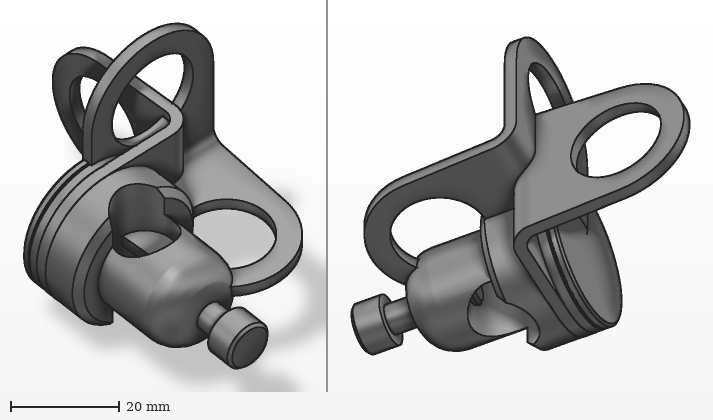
import cadquery as cq
import math


sheet = 2.5
bend_inner = 3.0
bend_outer = bend_inner + sheet
half_width = 15.1
eye_corner_radius = 15.0
eye_reach = 15.0
eye_hole_diameter = 20.1
eye_drop = 22.2
tab_hole_reach = 23.0
tab_radius = 14.0
tab_hole_diameter = 18.5
ring_outer_face = 6.5

flange_diameter = 30.0
flange_end = 15.5
flange_chamfer = 0.5
rim_chamfer = 1.55
groove_start = 1.6
groove_width = 0.5
groove_depth = 0.5
rod_diameter = 20.0
rod_end = 35.1
dome_radius = 7.0
cross_bore_diameter = 13.3
cross_bore_x = 17.25

screw_diameter = 5.9
screw_tip_x = 22.5
screw_tip_chamfer = 0.7
head_diameter = 10.0
head_length = 6.0
head_chamfer = 0.6
screw_end = 46.4


def x_cylinder(diameter, start, end):
    """Cylinder on the X axis between two X positions."""
    return cq.Workplane("YZ").workplane(offset=start).circle(diameter / 2).extrude(end - start)


def make_bent_strip():
    """L-shaped strip of full width; the eye centre on the outer face is the origin."""
    tab_end = tab_hole_reach + tab_radius
    bend_mid = bend_outer * (1 - math.sqrt(0.5))
    inner_mid = bend_outer - bend_inner * math.sqrt(0.5)
    return (
        cq.Workplane("XZ")
        .moveTo(0, eye_reach)
        .lineTo(0, bend_outer - eye_drop)
        .threePointArc((bend_mid, bend_mid - eye_drop), (bend_outer, -eye_drop))
        .lineTo(tab_end, -eye_drop)
        .lineTo(tab_end, sheet - eye_drop)
        .lineTo(bend_outer, sheet - eye_drop)
        .threePointArc((inner_mid, inner_mid - eye_drop), (sheet, bend_outer - eye_drop))
        .lineTo(sheet, eye_reach)
        .close()
        .extrude(half_width, both=True)
    )


def make_eye_outline():
    """Prism along X with the round-ended outline of the eye plate."""
    return (
        cq.Workplane("YZ")
        .moveTo(-half_width, -eye_drop)
        .lineTo(-half_width, eye_reach - eye_corner_radius)
        .radiusArc((eye_corner_radius - half_width, eye_reach), eye_corner_radius)
        .lineTo(half_width - eye_corner_radius, eye_reach)
        .radiusArc((half_width, eye_reach - eye_corner_radius), eye_corner_radius)
        .lineTo(half_width, -eye_drop)
        .close()
        .extrude(tab_hole_reach + tab_radius)
    )


def make_tab_outline():
    """Prism along Z whose sides taper from the bend to a tangent round end."""
    run = tab_hole_reach - bend_outer
    to_corner = math.atan2(half_width, -run)
    tangent_angle = to_corner - math.acos(tab_radius / math.hypot(run, half_width))
    tangent_x = tab_hole_reach + tab_radius * math.cos(tangent_angle)
    tangent_y = tab_radius * math.sin(tangent_angle)
    return (
        cq.Workplane("XY")
        .workplane(offset=-eye_drop)
        .moveTo(0, -half_width)
        .lineTo(bend_outer, -half_width)
        .lineTo(tangent_x, -tangent_y)
        .threePointArc((tab_hole_reach + tab_radius, 0), (tangent_x, tangent_y))
        .lineTo(bend_outer, half_width)
        .lineTo(0, half_width)
        .close()
        .extrude(eye_drop + eye_reach)
    )


def make_bracket(plane):
    """Bent eye bracket placed with its eye centre at the plane origin."""
    eye_hole = x_cylinder(eye_hole_diameter, 0, sheet)
    tab_hole = (
        cq.Workplane("XY")
        .workplane(offset=-eye_drop)
        .center(tab_hole_reach, 0)
        .circle(tab_hole_diameter / 2)
        .extrude(sheet)
    )
    bracket = make_bent_strip().intersect(make_eye_outline()).intersect(make_tab_outline())
    bracket = bracket.cut(eye_hole).cut(tab_hole)
    return cq.Workplane(bracket.val().moved(cq.Location(plane)))


def make_spindle():
    """Flanged and domed spindle with a flange groove, ring seat, cross bore and screw hole."""
    flange = x_cylinder(flange_diameter, 0, flange_end)
    flange = flange.faces("<X").chamfer(flange_chamfer).faces(">X").chamfer(rim_chamfer)
    rod = x_cylinder(rod_diameter, 0, rod_end).faces(">X").edges().fillet(dome_radius)

    groove_end = groove_start + groove_width
    groove = x_cylinder(flange_diameter, groove_start, groove_end).cut(
        x_cylinder(flange_diameter - 2 * groove_depth, groove_start, groove_end)
    )
    seat_start = ring_outer_face - sheet
    ring_seat = x_cylinder(flange_diameter, seat_start, ring_outer_face)
    cross_bore = (
        cq.Workplane("XY")
        .center(cross_bore_x, 0)
        .circle(cross_bore_diameter / 2)
        .extrude(flange_diameter / 2, both=True)
    )
    screw_hole = x_cylinder(screw_diameter, cross_bore_x, rod_end)
    return flange.cut(groove).cut(ring_seat).union(rod).cut(cross_bore).cut(screw_hole)


def make_screw():
    """Cap screw with a chamfered tip and head."""
    head_start = screw_end - head_length
    shank = x_cylinder(screw_diameter, screw_tip_x, head_start).faces("<X").chamfer(screw_tip_chamfer)
    head = x_cylinder(head_diameter, head_start, screw_end).faces(">X").chamfer(head_chamfer)
    return shank.union(head)


bracket_planes = [
    cq.Plane(origin=(0, half_width, eye_drop), xDir=(1, 0, 0), normal=(0, 0, 1)),
    cq.Plane(origin=(ring_outer_face, 0, 0), xDir=(-1, 0, 0), normal=(0, -1, 0)),
]
upright_bracket, ring_bracket = [make_bracket(plane) for plane in bracket_planes]
spindle = make_spindle()
screw = make_screw()

upright_bracket = upright_bracket.cut(screw)
ring_bracket = ring_bracket.cut(upright_bracket)
spindle = spindle.cut(upright_bracket)

bodies = [spindle, upright_bracket, ring_bracket, screw]
result = cq.Compound.makeCompound([body.solids().val() for body in bodies])